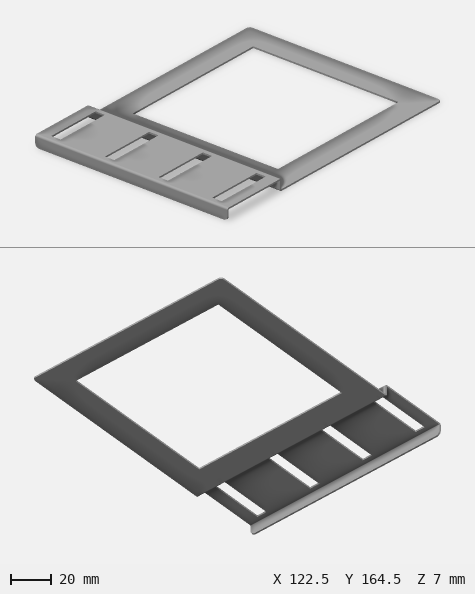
import cadquery as cq

width = 122.5
length = 164.5
height = 7.0
thickness = 1.0

shelf_depth = 41.5
bend_radius = 1.2
inner_bend_radius = bend_radius - thickness

frame_corner_radius = 2.0
flange_corner_radius = 2.5

frame_margin = 15.0
window_size = width - 2 * frame_margin

slot_count = 4
slot_width = 6.0
slot_length = 34.0
slot_pitch = 34.2
slot_front_margin = 4.0


def folded_sheet():
    """Front flange, raised shelf, riser and flat frame as one bent strip."""
    riser_front = shelf_depth - thickness
    profile = [
        (0, 0),
        (0, height),
        (shelf_depth, height),
        (shelf_depth, thickness),
        (length, thickness),
        (length, 0),
        (riser_front, 0),
        (riser_front, height - thickness),
        (thickness, height - thickness),
        (thickness, 0),
    ]
    sheet = cq.Workplane("YZ").polyline(profile).close().extrude(width / 2, both=True)

    def edge_at(y, z):
        return cq.selectors.NearestToPointSelector((0, y, z))

    outer_bends = [(0, height), (shelf_depth, height), (riser_front, 0)]
    inner_bends = [
        (thickness, height - thickness),
        (riser_front, height - thickness),
        (shelf_depth, thickness),
    ]
    for y, z in outer_bends:
        sheet = sheet.edges(edge_at(y, z)).fillet(bend_radius)
    for y, z in inner_bends:
        sheet = sheet.edges(edge_at(y, z)).fillet(inner_bend_radius)
    return sheet


def round_free_corners(sheet):
    """Round the back corners of the frame and the lower corners of the flange."""
    sheet = sheet.faces(">Y").edges("|Z").fillet(frame_corner_radius)
    flange_corners = cq.selectors.BoxSelector(
        (-width, -thickness, -thickness), (width, 2 * thickness, thickness)
    )
    return sheet.edges("|Y").edges(flange_corners).fillet(flange_corner_radius)


def window_cutter():
    """Square opening, set in from the back edge by the same margin as the sides."""
    center_y = length - frame_margin - window_size / 2
    return (
        cq.Workplane("XY")
        .center(0, center_y)
        .rect(window_size, window_size)
        .extrude(height)
    )


def slot_cutters():
    """Row of rectangular slots centred across the width of the shelf."""
    center_y = slot_front_margin + slot_length / 2
    return (
        cq.Workplane("XY")
        .center(0, center_y)
        .rarray(slot_pitch, 1.6, slot_count, 1)
        .rect(slot_width, slot_length)
        .extrude(height)
    )


bracket = round_free_corners(folded_sheet())
result = bracket.cut(window_cutter()).cut(slot_cutters())